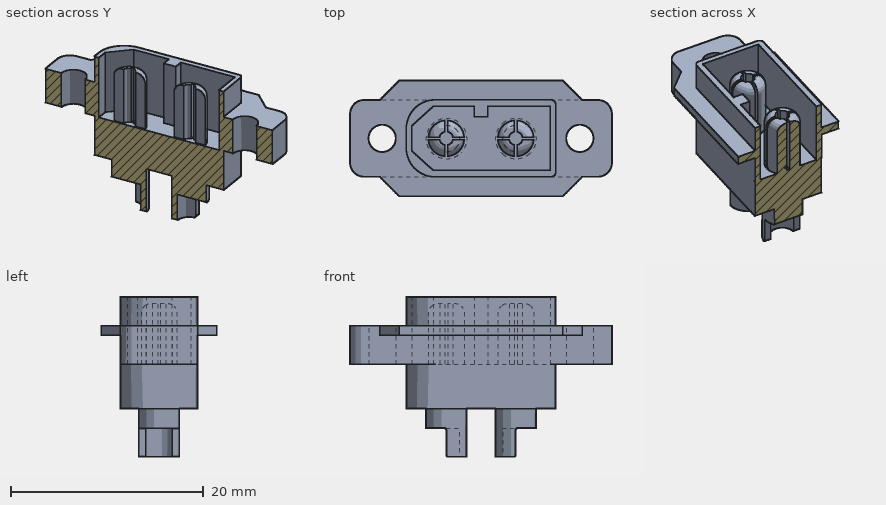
import cadquery as cq

flange_length = 27.18
body_width = 8.0
flange_thickness = 4.02
flange_corner_radius = 1.5
screw_hole_diameter = 2.8
screw_hole_spacing = 20.5

rim_width = 12.0
rim_thickness = 1.0
rim_flat_length = 16.95
rim_chamfer = (rim_width - body_width) / 2

shell_length = 15.5
shell_round_radius = 3.0
shell_corner_radius = 0.5
shroud_height = 3.0
housing_height = 4.6

pocket_length = 14.35
pocket_width = 6.63
pocket_chamfer_x = 2.23
pocket_chamfer_y = 2.0
pocket_depth = shroud_height + flange_thickness
key_width = 1.45
key_depth = 1.05

pin_spacing = 7.2
pin_diameter = 3.72
pin_height = 6.33
pin_dome_radius = 1.0
pin_bore_diameter = 1.4
pin_slot_width = 0.27

cup_diameter = 4.2
cup_bore_diameter = 2.75
cup_length = 5.0
cup_collar_length = 2.0
cup_edge_radius = 0.22

flange_top = flange_thickness
shroud_top = flange_top + shroud_height
housing_bottom = -housing_height
pocket_floor = shroud_top - pocket_depth
cup_bottom = housing_bottom - cup_length
cup_cut_length = cup_length - cup_collar_length


def make_flange():
    plate = (
        cq.Workplane("XY")
        .rect(flange_length, body_width)
        .extrude(flange_thickness)
        .edges("|Z")
        .fillet(flange_corner_radius)
    )
    rim_length = rim_flat_length + 2 * rim_chamfer
    rim = (
        cq.Workplane("XY", origin=(0, 0, flange_top - rim_thickness))
        .rect(rim_length, rim_width)
        .extrude(rim_thickness)
        .edges("|Z")
        .chamfer(rim_chamfer)
    )
    return plate.union(rim)


def make_shell():
    return (
        cq.Workplane("XY", origin=(0, 0, housing_bottom))
        .rect(shell_length, body_width)
        .extrude(shroud_top - housing_bottom)
        .edges("|Z and <X")
        .fillet(shell_round_radius)
        .edges("|Z and >X")
        .fillet(shell_corner_radius)
    )


def make_screw_holes():
    return (
        cq.Workplane("XY")
        .pushPoints([(-screw_hole_spacing / 2, 0), (screw_hole_spacing / 2, 0)])
        .circle(screw_hole_diameter / 2)
        .extrude(flange_thickness)
    )


def make_pocket():
    half_length = pocket_length / 2
    half_width = pocket_width / 2
    pocket = (
        cq.Workplane("XY", origin=(0, 0, pocket_floor))
        .moveTo(half_length, -half_width)
        .lineTo(half_length, half_width)
        .lineTo(-half_length + pocket_chamfer_x, half_width)
        .lineTo(-half_length, half_width - pocket_chamfer_y)
        .lineTo(-half_length, -half_width + pocket_chamfer_y)
        .lineTo(-half_length + pocket_chamfer_x, -half_width)
        .close()
        .extrude(pocket_depth)
    )
    key = (
        cq.Workplane("XY", origin=(0, half_width - key_depth / 2, pocket_floor))
        .rect(key_width, key_depth)
        .extrude(pocket_depth)
    )
    return pocket.cut(key)


def make_pin(x):
    base = cq.Workplane("XY", origin=(x, 0, pocket_floor))
    pin = (
        base.circle(pin_diameter / 2)
        .extrude(pin_height)
        .faces(">Z")
        .edges()
        .fillet(pin_dome_radius)
    )
    bore = base.circle(pin_bore_diameter / 2).extrude(pin_height)
    slots = (
        base.rect(pin_diameter, pin_slot_width)
        .extrude(pin_height)
        .union(base.rect(pin_slot_width, pin_diameter).extrude(pin_height))
    )
    return pin.cut(bore).cut(slots)


def make_cup(side):
    """Solder cup at one end; side is the sign of X toward which the cup opens."""
    base = cq.Workplane("XY", origin=(side * pin_spacing / 2, 0, cup_bottom))
    cup = base.circle(cup_diameter / 2).extrude(cup_length)
    bore = base.circle(cup_bore_diameter / 2).extrude(cup_cut_length)
    radius = cup_edge_radius
    outside = side * cup_diameter
    opening = (
        cq.Workplane("XZ", origin=(side * pin_spacing / 2, 0, cup_bottom))
        .moveTo(-side * radius, 0)
        .radiusArc((0, radius), -side * radius)
        .lineTo(0, cup_cut_length - radius)
        .radiusArc((side * radius, cup_cut_length), side * radius)
        .lineTo(outside, cup_cut_length)
        .lineTo(outside, 0)
        .close()
        .extrude(cup_diameter / 2, both=True)
    )
    return cup.cut(opening).cut(bore)


result = make_flange().union(make_shell()).cut(make_screw_holes()).cut(make_pocket())
for side in (-1, 1):
    result = result.union(make_pin(side * pin_spacing / 2))
    result = result.union(make_cup(side))